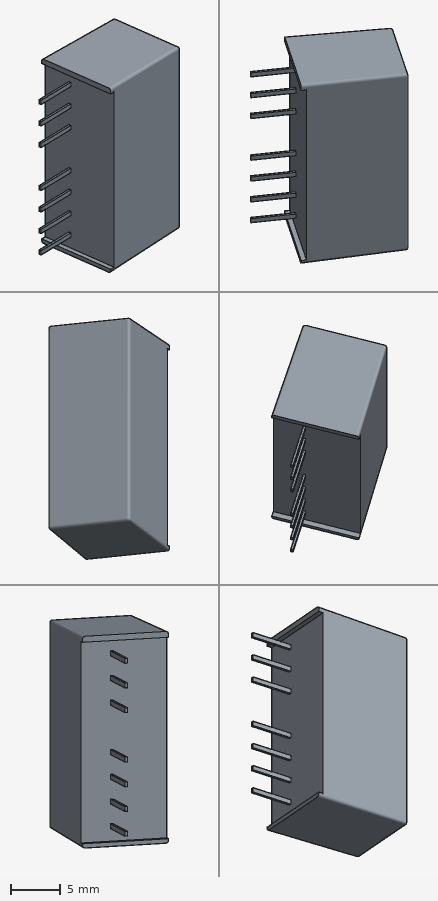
import cadquery as cq
import math

case_width = 9.2
case_height = 21.8
case_depth = 11.1
draft_angle = 0.9
edge_radius = 0.3

recess_depth = 0.55
top_lip = 0.6
bottom_lip = 0.45

pin_width = 0.26
pin_height = 0.5
pin_reach = 4.1
pin_x = -1.3
pin_row_span = 17.79
pin_positions = 8
empty_position = 4


def make_case():
    """Drafted block, rounded everywhere except around its front face."""
    inset = case_depth * math.tan(math.radians(draft_angle))
    block = (
        cq.Workplane("XZ")
        .rect(case_width, case_height)
        .workplane(offset=-case_depth)
        .rect(case_width - 2 * inset, case_height - 2 * inset)
        .loft(ruled=True)
    )
    front_edges = cq.selectors.BoxSelector(
        (-case_width, -edge_radius, -case_height),
        (case_width, edge_radius, case_height),
    )
    rounded_edges = block.edges(cq.selectors.InverseSelector(front_edges))
    return rounded_edges.fillet(edge_radius)


def cut_front_recess(case):
    """Set the front face back between the lips, open at both sides."""
    recess_height = case_height - top_lip - bottom_lip
    recess = cq.Workplane("XY").box(case_width, recess_depth, recess_height).translate(
        (0, recess_depth / 2, (bottom_lip - top_lip) / 2)
    )
    return case.cut(recess)


def make_pin(z):
    """Straight rectangular pin standing on the recessed face."""
    length = pin_reach + recess_depth
    return cq.Workplane("XY").box(pin_width, length, pin_height).translate(
        (pin_x, recess_depth - length / 2, z)
    )


result = cut_front_recess(make_case())
pin_pitch = pin_row_span / (pin_positions - 1)
for position in range(pin_positions):
    if position != empty_position:
        result = result.union(make_pin(position * pin_pitch - pin_row_span / 2))